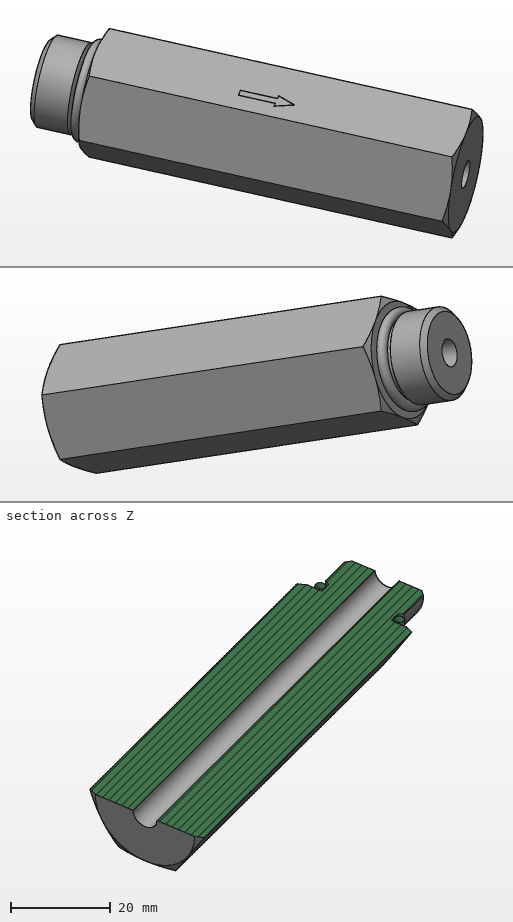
import cadquery as cq
import math

total_length = 88.9
hex_across_flats = 23.8
hex_across_corners = hex_across_flats / math.cos(math.radians(30))
stud_length = 11.12
hex_length = total_length - stud_length

hex_chamfer_radial = (hex_across_corners - hex_across_flats) / 2
hex_chamfer_angle = 23
hex_chamfer_axial = hex_chamfer_radial * math.tan(math.radians(hex_chamfer_angle))

stud_radius = 19.05 / 2
neck_radius = 16.82 / 2
stud_chamfer = stud_radius - neck_radius
thread_end = 8.1
thread_end_slope = 60
thread_end_taper = stud_chamfer / math.tan(math.radians(thread_end_slope))
bore_diameter = 5.7

ring_section_radius = 2.21 / 2
ring_center_radius = neck_radius + ring_section_radius
ring_center_x = stud_length - ring_section_radius

arrow_start_x = 42.1
arrow_head_x = 49.85
arrow_tip_x = 53.65
arrow_center_y = -2.4
arrow_shaft_width = 1.4
arrow_head_width = 3.0
arrow_depth = 0.1


def revolve_about_x(profile):
    """Revolve a closed XY profile a full turn about the X axis."""
    return profile.revolve(360, (0, 0, 0), (1, 0, 0))


def make_hex():
    """Hexagonal bar with a flat on top and its corners chamfered at both ends."""
    bar = (
        cq.Workplane("YZ", origin=(stud_length, 0, 0))
        .polygon(6, hex_across_corners)
        .extrude(hex_length)
    )
    face_radius = hex_across_flats / 2
    corner_radius = face_radius + hex_chamfer_radial
    chamfer_envelope = revolve_about_x(
        cq.Workplane("XY")
        .moveTo(stud_length, 0)
        .lineTo(stud_length, face_radius)
        .lineTo(stud_length + hex_chamfer_axial, corner_radius)
        .lineTo(total_length - hex_chamfer_axial, corner_radius)
        .lineTo(total_length, face_radius)
        .lineTo(total_length, 0)
        .close()
    )
    return bar.intersect(chamfer_envelope)


def make_stud():
    """Stud with chamfered ends, stepping down to the seal neck."""
    return revolve_about_x(
        cq.Workplane("XY")
        .lineTo(0, stud_radius - stud_chamfer)
        .lineTo(stud_chamfer, stud_radius)
        .lineTo(thread_end, stud_radius)
        .lineTo(thread_end + thread_end_taper, neck_radius)
        .lineTo(stud_length, neck_radius)
        .lineTo(stud_length, 0)
        .close()
    )


def make_bore():
    """Flow passage through the whole length."""
    return cq.Workplane("YZ").circle(bore_diameter / 2).extrude(total_length)


def make_arrow():
    """Cutter for the flow arrow, which points away from the stud."""
    half_shaft = arrow_shaft_width / 2
    half_head = arrow_head_width / 2
    return (
        cq.Workplane("XY", origin=(0, arrow_center_y, hex_across_flats / 2))
        .moveTo(arrow_start_x, -half_shaft)
        .lineTo(arrow_head_x, -half_shaft)
        .lineTo(arrow_head_x, -half_head)
        .lineTo(arrow_tip_x, 0)
        .lineTo(arrow_head_x, half_head)
        .lineTo(arrow_head_x, half_shaft)
        .lineTo(arrow_start_x, half_shaft)
        .close()
        .extrude(-arrow_depth)
    )


def make_housing():
    """Hexagonal housing with its stud, bore and flow arrow."""
    return make_hex().union(make_stud()).cut(make_bore()).cut(make_arrow())


def make_seal_ring():
    """Round-section seal ring around the neck."""
    return revolve_about_x(
        cq.Workplane("XY")
        .moveTo(ring_center_x, ring_center_radius)
        .circle(ring_section_radius)
    )


housing = make_housing()
seal_ring = make_seal_ring()

result = cq.Compound.makeCompound([housing.val(), seal_ring.val()])